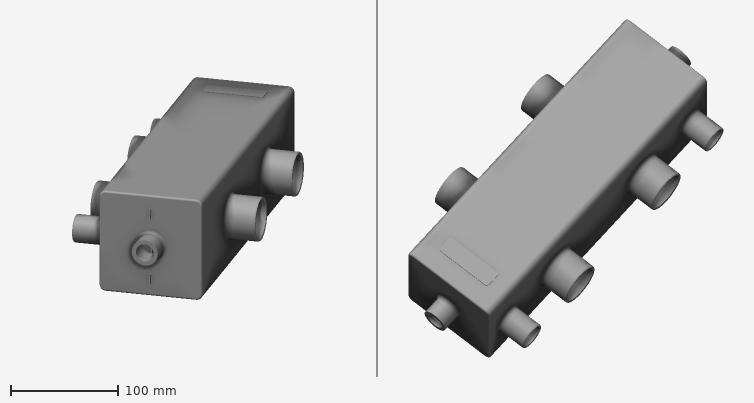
import cadquery as cq
import math


box_side = 100.0
box_length = 317.0
wall = 3.0
long_edge_radius = 6.0
end_edge_radius = 2.0

nameplate_length = 59.3
nameplate_width = 17.0
nameplate_height = 0.7
nameplate_corner_radius = 1.8
nameplate_y = 129.2

overall_length = 357.0
overall_width = 160.0
side_reach = (overall_width - box_side) / 2
end_reach = (overall_length - box_length) / 2
weld_radius = 3.0

end_outer_diameter = 25.0
end_bore_diameter = 17.0

small_outer_diameter = 26.8
small_bore_diameter = 22.0
small_offset = 132.5

large_outer_diameter = 42.0
large_bore_diameter = 36.5
large_offset = 62.5

outer_bevel_depth = 0.5
outer_bevel_length = 1.0
inner_bevel_depth = 0.9
inner_bevel_length = 0.5

divider_thickness = 1.0
mesh_hole_diameter = 6.5
mesh_pitch = 7.7
mesh_column_pitch = mesh_pitch * math.cos(math.radians(30))
mesh_columns = 4
mesh_rows = 3
rear_mesh_shift = -0.55
front_mesh_shift = -3.2

tab_height = 10.0
tab_reach = 4.0
tab_centre_z = 32.5


def make_box():
    """Square tube with closed ends and rounded edges, still solid."""
    box = cq.Workplane("XY").box(box_side, box_length, box_side)
    box = box.edges("|Y").fillet(long_edge_radius)
    return box.faces("<Y or >Y").edges().fillet(end_edge_radius)


def make_cavity():
    """Inner space, split in two by the divider."""
    cavity = cq.Workplane("XY").box(box_side - 2 * wall, box_length - 2 * wall, box_side - 2 * wall)
    cavity = cavity.edges("|Y").fillet(long_edge_radius - wall)
    divider = cq.Workplane("XY").box(divider_thickness, box_length, box_side)
    return cavity.cut(divider)


def revolve_stub(outer_diameter, reach, bevelled):
    """Solid stub along +Z with a flared weld root on the face at z = 0."""
    radius = outer_diameter / 2
    weld_middle = weld_radius * (1 - math.sin(math.radians(45)))
    stub = (
        cq.Workplane("XZ")
        .moveTo(0, -wall)
        .lineTo(radius + weld_radius, -wall)
        .lineTo(radius + weld_radius, 0)
        .threePointArc((radius + weld_middle, weld_middle), (radius, weld_radius))
        .lineTo(radius, reach)
        .lineTo(0, reach)
        .close()
        .revolve(360, (0, 0, 0), (0, 1, 0))
    )
    if bevelled:
        stub = stub.faces(">Z").edges().chamfer(outer_bevel_length, outer_bevel_depth)
    return stub


def place_side(shape, side, y):
    """Turn a shape from +Z to the +X (side = 1) or -X (side = -1) face."""
    return shape.rotate((0, 0, 0), (0, 1, 0), side * 90).translate((side * box_side / 2, y, 0))


def place_end(shape, side):
    """Turn a shape from +Z to the +Y (side = 1) or -Y (side = -1) end."""
    return shape.rotate((0, 0, 0), (1, 0, 0), -side * 90).translate((0, side * box_length / 2, 0))


def make_bore(diameter, reach, bevelled):
    """Bore along +Z that opens the stub and the box wall, widened at the mouth if bevelled."""
    radius = diameter / 2
    bore = cq.Workplane("XY").workplane(offset=-wall).circle(radius).extrude(wall + reach)
    if bevelled:
        mouth_radius = radius + inner_bevel_depth
        mouth_start = cq.Vector(0, 0, reach - inner_bevel_length)
        mouth = cq.Solid.makeCone(radius, mouth_radius, inner_bevel_length, mouth_start)
        bore = bore.union(cq.Workplane("XY").add(mouth))
    return bore


def make_stubs_and_bores():
    """All stubs and their bores as two lists of placed solids."""
    large_stub = revolve_stub(large_outer_diameter, side_reach, True)
    small_stub = revolve_stub(small_outer_diameter, side_reach, True)
    end_stub = revolve_stub(end_outer_diameter, end_reach, False)
    large_bore = make_bore(large_bore_diameter, side_reach, True)
    small_bore = make_bore(small_bore_diameter, side_reach, True)
    end_bore = make_bore(end_bore_diameter, end_reach, False)

    stubs = []
    bores = []
    for sign in (-1, 1):
        for side in (-1, 1):
            stubs.append(place_side(large_stub, side, sign * large_offset))
            bores.append(place_side(large_bore, side, sign * large_offset))
        stubs.append(place_side(small_stub, -1, sign * small_offset))
        bores.append(place_side(small_bore, -1, sign * small_offset))
        stubs.append(place_end(end_stub, sign))
        bores.append(place_end(end_bore, sign))
    return stubs, bores


def mesh_points(port_y, shift):
    """Staggered hole centres (y, z) that overlap the bore of the large port at port_y."""
    reach = (large_bore_diameter + mesh_hole_diameter) / 2
    points = []
    for column in range(-mesh_columns, mesh_columns + 1):
        y = shift + column * mesh_column_pitch
        stagger = (column % 2) * mesh_pitch / 2
        for row in range(-mesh_rows, mesh_rows + 1):
            z = row * mesh_pitch + stagger
            if math.hypot(y, z) < reach:
                points.append((port_y + y, z))
    return points


def make_mesh_holes():
    """Round holes through the divider behind the large ports."""
    points = mesh_points(large_offset, rear_mesh_shift) + mesh_points(-large_offset, front_mesh_shift)
    return (
        cq.Workplane("YZ")
        .pushPoints(points)
        .circle(mesh_hole_diameter / 2)
        .extrude(divider_thickness, both=True)
    )


def make_tabs():
    """Two divider tabs standing out of the -Y end."""
    tab_length = wall + tab_reach
    tab_y = -box_length / 2 - tab_reach + tab_length / 2
    centres = [(0, tab_y, -tab_centre_z), (0, tab_y, tab_centre_z)]
    return cq.Workplane("XY").pushPoints(centres).box(divider_thickness, tab_length, tab_height)


def make_nameplate():
    """Raised nameplate on the top face."""
    plate = (
        cq.Workplane("XY")
        .workplane(offset=box_side / 2)
        .center(0, nameplate_y)
        .rect(nameplate_length, nameplate_width)
        .extrude(nameplate_height)
    )
    return plate.edges("|Z").fillet(nameplate_corner_radius)


stubs, bores = make_stubs_and_bores()
result = make_box().union(make_nameplate()).union(make_tabs())
for stub in stubs:
    result = result.union(stub)
result = result.cut(make_cavity())
for bore in bores:
    result = result.cut(bore)
result = result.cut(make_mesh_holes())